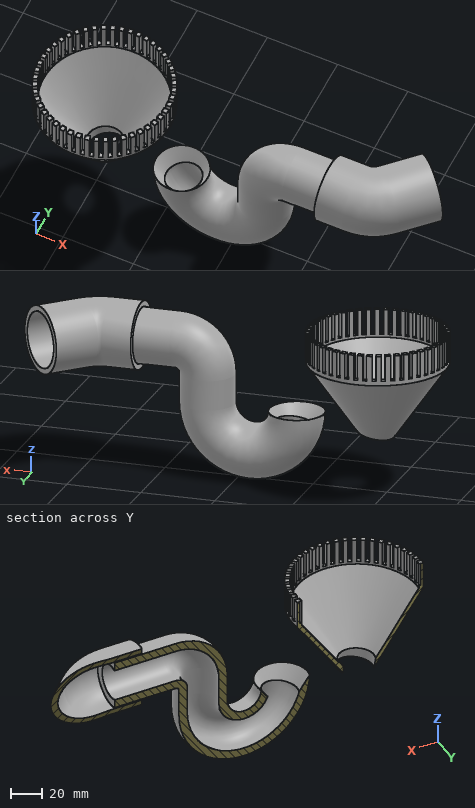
import cadquery as cq
import math

RIM_DIAMETER = 93.2
RIM_BORE = 86.0
RIM_HEIGHT = 20.0
SLOT_COUNT = 48
SLOT_WIDTH = 2.5
SLOT_DEPTH = 17.0

CONE_HALF_ANGLE = 35.0
SPOUT_TILT = 10.0
SPOUT_DEPTH = 49.0
SPOUT_OFFSET = 1.5
SPOUT_BORE_LENGTH = 17.0

PIPE_DIAMETER = 37.0
PIPE_BORE = 24.5
TRAP_INLET_X = 55.0
TRAP_BEND_RADIUS = 30.0
RISER_LENGTH = 20.0
OUTLET_BEND_RADIUS = 20.0
OUTLET_LENGTH = 24.8

ELBOW_DIAMETER = 45.3
ELBOW_BORE = 37.5
SOCKET_LENGTH = 20.0
ELBOW_BEND_RADIUS = 25.0
ELBOW_ANGLE = 45.0
ELBOW_LEG_LENGTH = 30.0

CONE_SLOPE = math.tan(math.radians(CONE_HALF_ANGLE))
RIM_RADIUS = RIM_DIAMETER / 2
RIM_BORE_RADIUS = RIM_BORE / 2
RIM_WALL = RIM_RADIUS - RIM_BORE_RADIUS
RISER_TOP_Z = -OUTLET_BEND_RADIUS
TRAP_INLET_Z = RISER_TOP_Z - RISER_LENGTH
RISER_X = TRAP_INLET_X + 2 * TRAP_BEND_RADIUS
OUTLET_START_X = RISER_X + OUTLET_BEND_RADIUS
ELBOW_START_X = OUTLET_START_X + OUTLET_LENGTH
ELBOW_BEND_X = ELBOW_START_X + SOCKET_LENGTH


def vertical_cone(top_radius, top_z):
    """Cone that narrows downward from a circle on the Z axis to its tip."""
    tip_z = top_z - top_radius / CONE_SLOPE
    half_section = cq.Workplane("XZ").polyline([(0, top_z), (top_radius, top_z), (0, tip_z)]).close()
    return half_section.revolve(360, (0, 0, 0), (0, 1, 0))


def rim_slots():
    """Slots spaced evenly round the rim, open at the top and cut through its wall."""
    cutter_length = 3 * RIM_WALL
    return (
        cq.Workplane("XY", origin=(0, 0, RIM_HEIGHT - SLOT_DEPTH))
        .polarArray(RIM_RADIUS - RIM_WALL / 2, 0, 360, SLOT_COUNT)
        .rect(cutter_length, SLOT_WIDTH)
        .extrude(SLOT_DEPTH)
    )


def make_funnel():
    """Slotted strainer rim above a conical bowl whose spout is cut off at a slope."""
    wall_across = RIM_WALL / math.cos(math.radians(CONE_HALF_ANGLE))
    bowl_top_z = (wall_across - RIM_WALL) / CONE_SLOPE

    rim = cq.Workplane("XY").circle(RIM_RADIUS).extrude(RIM_HEIGHT)
    rim_bore = cq.Workplane("XY", origin=(0, 0, bowl_top_z)).circle(RIM_BORE_RADIUS).extrude(RIM_HEIGHT)
    bowl = vertical_cone(RIM_BORE_RADIUS, bowl_top_z)
    funnel = rim.union(vertical_cone(RIM_RADIUS, 0)).cut(rim_bore).cut(bowl).cut(rim_slots())

    tilt = math.radians(SPOUT_TILT)
    spout_plane = cq.Plane(
        origin=(SPOUT_OFFSET, 0, SPOUT_OFFSET * math.tan(tilt) - SPOUT_DEPTH),
        xDir=(math.cos(tilt), 0, math.sin(tilt)),
        normal=(-math.sin(tilt), 0, math.cos(tilt)),
    )
    below_spout = cq.Workplane(spout_plane).circle(RIM_RADIUS).extrude(-RIM_RADIUS)
    spout_bore = cq.Workplane(spout_plane).circle(PIPE_BORE / 2).extrude(SPOUT_BORE_LENGTH)
    return funnel.cut(below_spout).cut(spout_bore)


def make_trap():
    """U-bend, riser and horizontal outlet pipe in one, with a conical lead-in at the inlet."""
    path = (
        cq.Workplane("XZ")
        .moveTo(TRAP_INLET_X, TRAP_INLET_Z)
        .threePointArc(
            (TRAP_INLET_X + TRAP_BEND_RADIUS, TRAP_INLET_Z - TRAP_BEND_RADIUS),
            (RISER_X, TRAP_INLET_Z),
        )
        .lineTo(RISER_X, RISER_TOP_Z)
        .radiusArc((OUTLET_START_X, 0), OUTLET_BEND_RADIUS)
        .lineTo(ELBOW_BEND_X, 0)
    )
    inlet = cq.Workplane("XY", origin=(TRAP_INLET_X, 0, TRAP_INLET_Z))
    pipe = inlet.circle(PIPE_DIAMETER / 2).circle(PIPE_BORE / 2).sweep(path)
    lead_in = vertical_cone(PIPE_DIAMETER / 2, 0).translate((TRAP_INLET_X, 0, TRAP_INLET_Z))
    return pipe.cut(lead_in)


def make_elbow():
    """Elbow in the horizontal plane: its socket fits round the outlet pipe end."""
    angle = math.radians(ELBOW_ANGLE)
    bend_end = (
        ELBOW_BEND_X + ELBOW_BEND_RADIUS * math.sin(angle),
        ELBOW_BEND_RADIUS * (1 - math.cos(angle)),
    )
    path = (
        cq.Workplane("XY")
        .moveTo(ELBOW_START_X, 0)
        .lineTo(ELBOW_BEND_X, 0)
        .radiusArc(bend_end, -ELBOW_BEND_RADIUS)
        .line(ELBOW_LEG_LENGTH * math.cos(angle), ELBOW_LEG_LENGTH * math.sin(angle))
    )
    socket = cq.Workplane("YZ", origin=(ELBOW_START_X, 0, 0))
    return socket.circle(ELBOW_DIAMETER / 2).circle(ELBOW_BORE / 2).sweep(path)


funnel = make_funnel()
trap = make_trap()
elbow = make_elbow()

result = cq.Compound.makeCompound([funnel.solids().val(), trap.solids().val(), elbow.solids().val()])